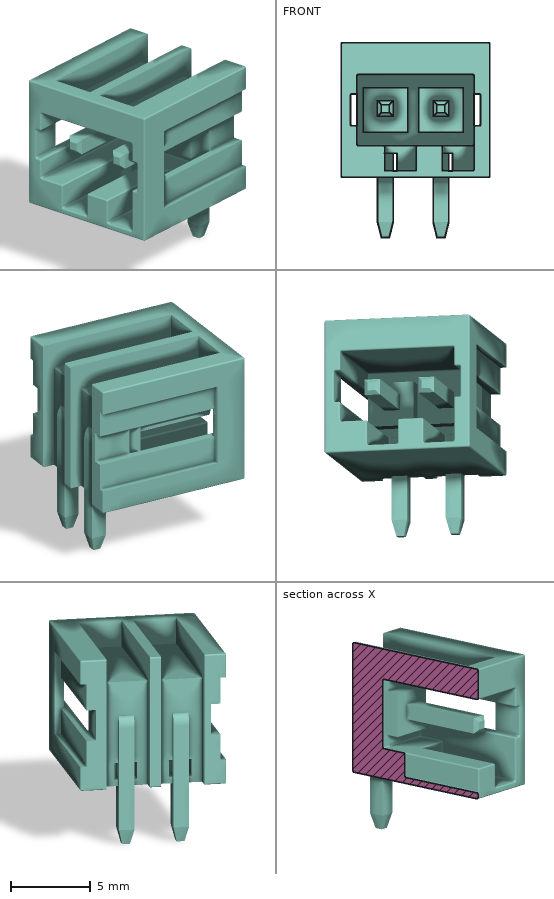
import cadquery as cq

HOUSING_WIDTH = 9.4
HOUSING_DEPTH = 10.3
HOUSING_HEIGHT = 8.5
OVERALL_HEIGHT = 12.3
EDGE_RADIUS = 0.1

CAVITY_WIDTH = 7.38
CAVITY_DEPTH = 7.81
CAVITY_FLOOR = 1.99
CAVITY_TOP = 6.5
KEYWAY_WIDTH = 1.99
KEYWAY_DEPTH = 6.03
KEYWAY_FLOOR = 0.4
FIRST_KEYWAY_LEFT = -1.94
SECOND_KEYWAY_LEFT = CAVITY_WIDTH / 2 - KEYWAY_WIDTH
KEYWAY_LEFTS = (FIRST_KEYWAY_LEFT, SECOND_KEYWAY_LEFT)

LATCH_SLOT_SPAN = 8.19
WINDOW_BOTTOM = 3.26
WINDOW_HEIGHT = 1.99
RECESS_DEPTH = 0.39
RECESS_BOTTOM = 1.56
RECESS_HEIGHT = 5.39
RECESS_FRONT = 1.99

PIN_PITCH = 3.5
PIN_ROW_CENTER = -0.15
PIN_XS = (PIN_ROW_CENTER - PIN_PITCH / 2, PIN_ROW_CENTER + PIN_PITCH / 2)
PIN_SIZE = 1.0
PIN_TIP_SIZE = 0.5
PIN_HEIGHT = 4.34
PIN_FRONT = 1.05
PIN_FRONT_TAPER = 0.25
PIN_BACK = HOUSING_DEPTH - 0.5
PIN_BOTTOM = HOUSING_HEIGHT - OVERALL_HEIGHT
PIN_BOTTOM_TAPER = 0.98
PIN_BEND_RADIUS = 0.98

HOLDER_SIZE = 2.79
HOLDER_BOTTOM = 2.85
HOLDER_FRONT = 6.79
GROOVE_FRONT = 1.02
GROOVE_FLOOR = 6.8
CHANNEL_DEPTH = 0.8
CHANNEL_FRONT = HOUSING_DEPTH - CHANNEL_DEPTH

PASSAGE_WIDTH = 1.45
PASSAGE_TOP = 1.51


def block(x_range, y_range, z_range):
    """Box between the given limits along each axis."""
    lows, highs = zip(x_range, y_range, z_range)
    lengths = [high - low for low, high in zip(lows, highs)]
    return cq.Workplane("XY").box(*lengths, centered=False).translate(lows)


def around(center, size):
    """Limits of a span of the given size about its centre."""
    return (center - size / 2, center + size / 2)


def slot_heights():
    """Limits in Z shared by the latch slots and the windows behind them."""
    return (WINDOW_BOTTOM, WINDOW_BOTTOM + WINDOW_HEIGHT)


def cavity():
    """Space inside the housing: main pocket, latch slots and keyways, with rounded edges."""
    space = block(around(0, CAVITY_WIDTH), (0, CAVITY_DEPTH), (CAVITY_FLOOR, CAVITY_TOP))
    space = space.union(block(around(0, LATCH_SLOT_SPAN), (0, CAVITY_DEPTH), slot_heights()))
    for left in KEYWAY_LEFTS:
        space = space.union(
            block((left, left + KEYWAY_WIDTH), (0, KEYWAY_DEPTH), (KEYWAY_FLOOR, CAVITY_TOP))
        )
    return space.clean().edges("not(<Y)").fillet(EDGE_RADIUS)


def housing():
    """Rounded block with the cavity, whose mouth is rounded too."""
    body = block(around(0, HOUSING_WIDTH), (0, HOUSING_DEPTH), (0, HOUSING_HEIGHT))
    body = body.edges().fillet(EDGE_RADIUS).cut(cavity())
    mouth = body.faces("<Y").val().innerWires()[0]
    return body.newObject(mouth.Edges()).fillet(EDGE_RADIUS)


def side_openings():
    """Shallow recess on each side with a window through to the cavity."""
    recess_z = (RECESS_BOTTOM, RECESS_BOTTOM + RECESS_HEIGHT)
    length = (RECESS_FRONT, HOUSING_DEPTH)
    outer = HOUSING_WIDTH / 2
    recess = block((outer - RECESS_DEPTH, outer), length, recess_z)
    window = block((CAVITY_WIDTH / 2, outer), length, slot_heights())
    right = recess.union(window)
    return right.union(right.mirror("YZ"))


def rear_openings(pin_x):
    """Top groove, rear channel and keyway passage of one pin."""
    holder_x = around(pin_x, HOLDER_SIZE)
    groove = block(holder_x, (GROOVE_FRONT, HOUSING_DEPTH), (GROOVE_FLOOR, HOUSING_HEIGHT))
    channel = block(holder_x, (CHANNEL_FRONT, HOUSING_DEPTH), (0, HOUSING_HEIGHT))
    passage_y = (KEYWAY_DEPTH - EDGE_RADIUS, HOUSING_DEPTH)
    passage = block(around(pin_x, PASSAGE_WIDTH), passage_y, (KEYWAY_FLOOR, PASSAGE_TOP))
    return groove.union(channel).union(passage)


def holder(pin_x):
    """Square boss on the cavity's back wall."""
    return block(
        around(pin_x, HOLDER_SIZE),
        (HOLDER_FRONT, CHANNEL_FRONT),
        (HOLDER_BOTTOM, HOLDER_BOTTOM + HOLDER_SIZE),
    )


def tapered_tip(plane, length):
    """Square pyramid frustum growing along the normal of its plane."""
    return (
        cq.Workplane(plane)
        .rect(PIN_SIZE, PIN_SIZE)
        .workplane(offset=length)
        .rect(PIN_TIP_SIZE, PIN_TIP_SIZE)
        .loft(ruled=True)
    )


def pin(pin_x):
    """Right-angle pin: level towards the front, turning down behind, tapered at both ends."""
    level_front = PIN_FRONT + PIN_FRONT_TAPER
    leg_bottom = PIN_BOTTOM + PIN_BOTTOM_TAPER
    leg_y = PIN_BACK - PIN_SIZE / 2
    pin_x_range = around(pin_x, PIN_SIZE)
    level = block(pin_x_range, (level_front, PIN_BACK), around(PIN_HEIGHT, PIN_SIZE))
    leg = block(pin_x_range, (PIN_BACK - PIN_SIZE, PIN_BACK), (leg_bottom, PIN_HEIGHT))
    bent = level.union(leg).clean().edges(">Y and >Z").fillet(PIN_BEND_RADIUS)
    front_plane = cq.Plane((pin_x, level_front, PIN_HEIGHT), (1, 0, 0), (0, -1, 0))
    bottom_plane = cq.Plane((pin_x, leg_y, leg_bottom), (1, 0, 0), (0, 0, -1))
    front_tip = tapered_tip(front_plane, PIN_FRONT_TAPER)
    bottom_tip = tapered_tip(bottom_plane, PIN_BOTTOM_TAPER)
    return bent.union(front_tip).union(bottom_tip)


result = housing().cut(side_openings())
for x in PIN_XS:
    result = result.cut(rear_openings(x)).union(holder(x)).union(pin(x))